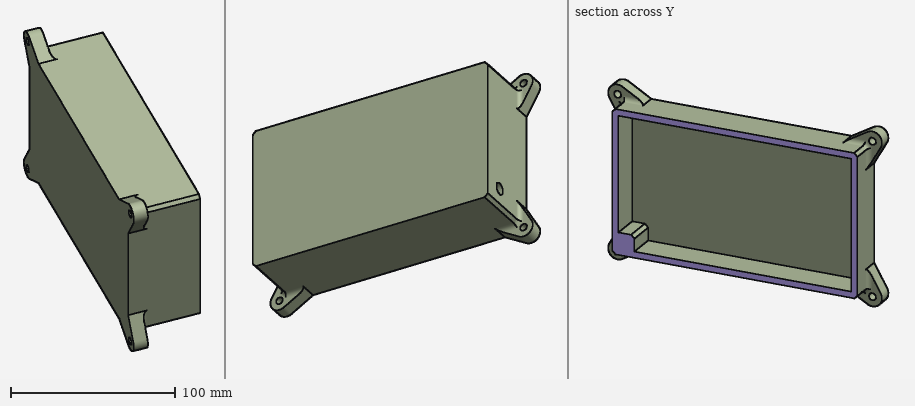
import cadquery as cq
import math

length_x = 185.0
depth_y = 47.2
height_z = 115.5

ear_overhang = 9.6
ear_thickness = 9.2
ear_radius = 6.5
ear_hole_diameter = 4.6
ear_flank_angle = math.radians(30)
ear_fillet = 3.0

edge_chamfer = 2.2
wall = 4.5
back_wall = 2.8
body_x = length_x - 2 * ear_overhang
body_z = height_z - 2 * ear_overhang

port_diameter = 7.8
port_from_back = 14.5
port_from_bottom = 13.0

front_y = 0.0
back_y = depth_y
ear_center_x = length_x / 2 - ear_radius
ear_center_z = height_z / 2 - ear_radius
chamber_back_y = back_y - back_wall
port_y = back_y - port_from_back
port_z = port_from_bottom - body_z / 2


def block(x_range, y_range, z_range):
    """Box between two limits on each axis."""
    (x0, x1), (y0, y1), (z0, z1) = x_range, y_range, z_range
    return cq.Workplane("XY").box(x1 - x0, y1 - y0, z1 - z0, centered=False).translate((x0, y0, z0))


def make_body():
    """Rectangular body with its four depth-wise edges chamfered."""
    body = block(
        (-body_x / 2, body_x / 2),
        (front_y, back_y),
        (-body_z / 2, body_z / 2),
    )
    return body.edges("|Y").chamfer(edge_chamfer)


def make_ear():
    """Ear of the +X +Z corner: round tip with two flanks tangent to it that spread into the body."""
    sin_a = math.sin(ear_flank_angle)
    cos_a = math.cos(ear_flank_angle)
    tangent_x = ear_center_x - ear_radius * sin_a
    tangent_z = ear_center_z + ear_radius * cos_a
    root_x = tangent_x - (tangent_z - body_z / 2) / math.tan(ear_flank_angle)
    root_offset = body_x / 2 - root_x
    side_tangent_x = ear_center_x + ear_radius * cos_a
    side_tangent_z = ear_center_z - ear_radius * sin_a
    tip_offset = ear_radius * math.sqrt(0.5)

    return (
        cq.Workplane("XZ")
        .moveTo(root_x, body_z / 2)
        .lineTo(tangent_x, tangent_z)
        .threePointArc(
            (ear_center_x + tip_offset, ear_center_z + tip_offset),
            (side_tangent_x, side_tangent_z),
        )
        .lineTo(body_x / 2, body_z / 2 - root_offset)
        .lineTo(root_x, body_z / 2 - root_offset)
        .close()
        .extrude(-ear_thickness)
    )


def is_ear_root(edge):
    """True for an edge on the plane of the ears' back faces whose ends stay within the body outline."""
    tolerance = 0.002
    return all(
        abs(v.Y - ear_thickness) < tolerance
        and abs(v.X) < body_x / 2 + tolerance
        and abs(v.Z) < body_z / 2 + tolerance
        for v in edge.Vertices()
    )


def add_ears(body):
    """Join an ear to every corner and fillet its back face into the body."""
    ear = make_ear()
    for mirror_x in (False, True):
        for mirror_z in (False, True):
            placed = ear.mirror("YZ") if mirror_x else ear
            placed = placed.mirror("XY") if mirror_z else placed
            body = body.union(placed)
    roots = [edge for edge in body.edges().vals() if is_ear_root(edge)]
    return body.newObject(roots).fillet(ear_fillet)


def make_ear_holes():
    """Through holes concentric with the ear tips."""
    return (
        cq.Workplane("XZ")
        .rect(2 * ear_center_x, 2 * ear_center_z, forConstruction=True)
        .vertices()
        .circle(ear_hole_diameter / 2)
        .extrude(-ear_thickness)
    )


def make_chamber():
    """Inner space, less a corner post whose free edge is chamfered like the body."""
    chamber = block(
        (wall - body_x / 2, body_x / 2 - wall),
        (front_y + wall, chamber_back_y),
        (wall - body_z / 2, body_z / 2 - wall),
    )
    post_top = port_z + edge_chamfer
    post_size = post_top - (wall - body_z / 2)
    post = block(
        (body_x / 2 - wall - post_size, body_x / 2 - wall),
        (front_y + wall, chamber_back_y),
        (post_top - post_size, post_top),
    )
    return chamber.cut(post.edges("|Y and <X and >Z").chamfer(edge_chamfer))


def make_port():
    """Bore through the -X wall into the chamber."""
    return (
        cq.Workplane("YZ", origin=(-body_x / 2, port_y, port_z))
        .circle(port_diameter / 2)
        .extrude(wall)
    )


result = add_ears(make_body())
result = result.cut(make_ear_holes()).cut(make_chamber()).cut(make_port())